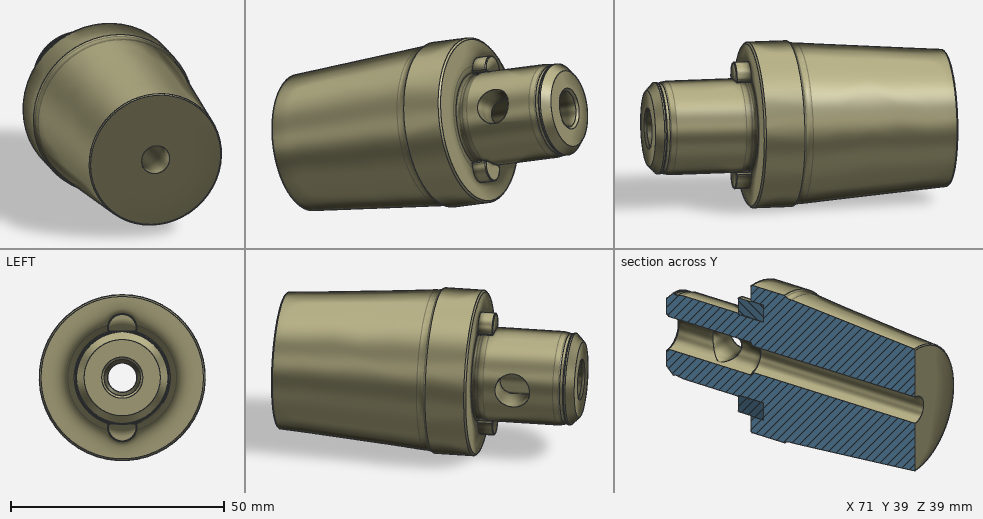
import cadquery as cq
import math

length = 71.0

shank_radius = 11.0
tip_face_radius = 8.95
tip_chamfer = 1.85
land_radius = tip_face_radius + tip_chamfer
groove_start = 2.2
groove_end = 3.5
groove_depth = 0.15
groove_flank = 0.3
lead_in_end = 4.75
shank_end = 21.45

relief_radius = 10.65
relief_cone_end = 22.8
relief_blend_drop = 0.018
relief_start = 22.9
relief_end = 23.5
root_fillet = 0.65
face_recess_radius = 12.8

collar_front = 24.0
collar_back = 34.1
collar_diameter = 39.0
collar_radius = collar_diameter / 2
collar_chamfer = 0.4

neck_radius = 19.2
head_start = 35.8
head_start_radius = 18.9
head_end_radius = 16.1
head_end_chamfer = 0.3
neck_hollow = 0.11

bore_radius = 4.25
bore_mouth_radius = 4.8
through_radius = 3.4
bore_depth = collar_front
drill_point_angle = 118.0

clamp_hole_x = 14.4
clamp_hole_radius = 4.1

key_front = 20.45
key_radius = 3.5
key_top = 15.05
key_bottom = 10.7
key_corner = 0.4
key_front_chamfer = 0.2
key_seat_depth = collar_front - key_front
key_angles = (0, 180)


def revolve_about_x(profile):
    """Turn a closed (x, radius) profile a full turn about the X axis."""
    return profile.close().revolve(360, (0, 0, 0), (1, 0, 0))


def adapter_blank():
    """Shank, undercut, collar and tapered head turned in one piece."""
    recess_bottom_x = relief_end + root_fillet
    recess_bottom_radius = relief_radius + root_fillet
    fillet_mid = root_fillet * math.sqrt(0.5)
    groove_radius = land_radius - groove_depth
    profile = (
        cq.Workplane("XZ")
        .lineTo(0, tip_face_radius)
        .lineTo(tip_chamfer, land_radius)
        .lineTo(groove_start, land_radius)
        .lineTo(groove_start + groove_flank, groove_radius)
        .lineTo(groove_end - groove_flank, groove_radius)
        .lineTo(groove_end, land_radius)
        .lineTo(lead_in_end, shank_radius)
        .lineTo(shank_end, shank_radius)
        .lineTo(relief_cone_end, relief_radius + relief_blend_drop)
        .tangentArcPoint((relief_start, relief_radius), relative=False)
        .lineTo(relief_end, relief_radius)
        .threePointArc(
            (relief_end + fillet_mid, recess_bottom_radius - fillet_mid),
            (recess_bottom_x, recess_bottom_radius),
        )
        .lineTo(collar_front, face_recess_radius)
        .lineTo(collar_front, collar_radius - collar_chamfer)
        .lineTo(collar_front + collar_chamfer, collar_radius)
        .lineTo(collar_back - collar_chamfer, collar_radius)
        .lineTo(collar_back, neck_radius)
        .threePointArc(
            (
                (collar_back + head_start) / 2,
                (neck_radius + head_start_radius) / 2 - neck_hollow,
            ),
            (head_start, head_start_radius),
        )
        .lineTo(length - head_end_chamfer, head_end_radius)
        .lineTo(length, head_end_radius - head_end_chamfer)
        .lineTo(length, 0)
    )
    return revolve_about_x(profile)


def stepped_bore():
    """Chamfered bore from the tip, narrowing through a drill-point cone to the through hole."""
    half_angle = math.radians(drill_point_angle / 2)
    step_length = (bore_radius - through_radius) / math.tan(half_angle)
    profile = (
        cq.Workplane("XZ")
        .lineTo(0, bore_mouth_radius)
        .lineTo(bore_mouth_radius - bore_radius, bore_radius)
        .lineTo(bore_depth, bore_radius)
        .lineTo(bore_depth + step_length, through_radius)
        .lineTo(length, through_radius)
        .lineTo(length, 0)
    )
    return revolve_about_x(profile)


def clamp_hole():
    """Radial hole from the bore axis out through the +Y side of the shank."""
    return (
        cq.Workplane("XZ")
        .center(clamp_hole_x, 0)
        .circle(clamp_hole_radius)
        .extrude(-collar_radius)
    )


def drive_key(angle):
    """Round-topped key, half sunk in the collar, rotated about X to its place."""
    arc_center_z = key_top - key_radius
    key = (
        cq.Workplane("YZ", origin=(key_front, 0, 0))
        .moveTo(-key_radius, arc_center_z)
        .threePointArc((0, key_top), (key_radius, arc_center_z))
        .lineTo(key_radius, key_bottom + key_corner)
        .lineTo(key_radius - key_corner, key_bottom)
        .lineTo(key_corner - key_radius, key_bottom)
        .lineTo(-key_radius, key_bottom + key_corner)
        .close()
        .extrude(collar_front + key_seat_depth - key_front)
        .faces("<X")
        .chamfer(key_front_chamfer)
    )
    return key.rotate((0, 0, 0), (1, 0, 0), angle)


keys = [drive_key(angle) for angle in key_angles]

adapter = adapter_blank().cut(stepped_bore()).cut(clamp_hole())
for key in keys:
    adapter = adapter.cut(key)

result = cq.Compound.makeCompound([adapter.val(), *[key.val() for key in keys]])